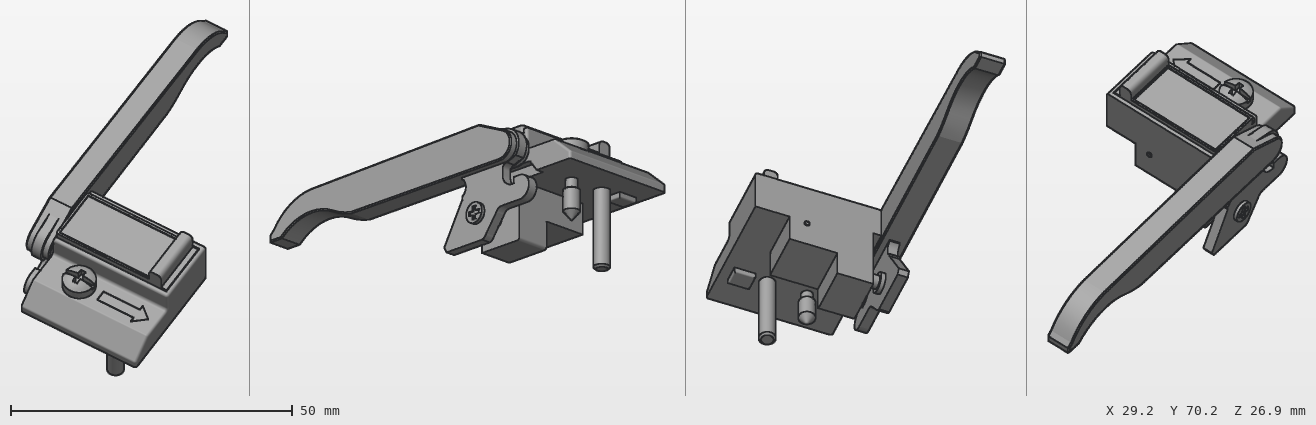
import cadquery as cq
import math


plate_left = 5.05
plate_right = 29.15
plate_depth = 23.6
plate_nose = 1.5
shelf_front = 4.1
shelf_height = 4.85
rim_front = 10.75
rim_top = 8.9
rim_thickness = 0.85
tray_floor = 8.0
rim_foot_radius = 0.6
edge_radius = 0.5
bevel_start = 8.35
bevel_end = 10.1
bevel_height = 2.2

lid_front = 11.95
lid_back = 22.55
lid_right = 28.2
lid_top = 9.55
lid_step = 8.85
lid_border = 0.5
panel_depth = 0.2
panel_gap = 0.3
ridge_left = 24.45
ridge_right = 27.05
ridge_top = 11.95
ridge_radius = 0.9

bracket_left = 6.6
bracket_front = 14.25
bracket_leg_right = 13.5
bracket_leg_bottom = -11.25
bracket_right = 22.6
bracket_bottom = -5.9
bracket_edge_radius = 0.55
stub_x = 19.3
stub_z = -0.55
stub_radius = 0.5
stub_length = 0.2

fastener_y = 7.3
screw_x = 12.8
head_radius = 3.0
head_side_top = 6.6
head_top = 7.5
dome_middle_z = 7.3
driver_width = 0.85
driver_bottom = 6.05
cross_width = 1.0
cross_length = 2.9
neck_radius = 1.1
neck_bottom = -1.75
shank_radius = 1.55
shank_top = -2.05
shank_bottom = -6.05
screw_tip = -7.9
pin_x = 20.4
pin_radius = 1.55
pin_bottom = -14.95
pin_chamfer = 0.4
foot_left = 23.1
foot_right = 27.2
foot_front = 5.5
foot_back = 8.7
foot_height = 1.05
foot_radius = 0.3

arrow_tail = 17.2
arrow_neck = 24.8
arrow_tip = 27.2
arrow_half_shaft = 1.05
arrow_half_head = 2.05
arrow_depth = 0.15

handle_width = 4.9
handle_tip = 70.25
handle_bottom = 1.7
handle_edge = 0.245
pivot_y = 12.8
handle_end_radius = 2.9
pivot_z = handle_bottom + handle_end_radius
shoulder_y = 17.9
shoulder_z = 9.9
grip_start_y = 49.9
grip_end_y = 67.3
nose_start_y = 60.05
nose_start_z = 9.1
tip_corner_y = 69.4
tip_corner_z = 3.8
tip_height = 3.0

lever_left = 1.55
lever_right = 3.5
lever_disc_radius = 3.45
disc_end_degrees = 220
lever_slot_y = 15.3
lever_back = 23.7
lever_bottom = -11.45
lever_top = 2.4
hook_top = -1.7
hook_bottom = -6.3
hook_center_y = 9.1
hook_step_y = 10.6
hook_gap_y = 11.0
hook_gap_z = -0.5
hook_gap_radius = 2.4
notch_y = 24.5
notch_z = -0.3
notch_radius = 1.9

lever_screw_y = 19.9
lever_screw_z = -6.1
collar_radius = 2.0
collar_left = 0.85
collar_right = 4.35
stud_radius = 1.25
stud_right = 7.3
recess_length = 2.5
recess_width = 0.8
recess_depth = 0.35


def box(x0, x1, y0, y1, z0, z1):
    """Block between two opposite corners."""
    return cq.Workplane("XY").box(x1 - x0, y1 - y0, z1 - z0, centered=False).translate((x0, y0, z0))


def rod_x(y, z, radius, x0, x1):
    """Cylinder along X."""
    return cq.Workplane("YZ", origin=(x0, y, z)).circle(radius).extrude(x1 - x0)


def on_circle(radius, angle):
    """Point on a circle around the pivot."""
    return (pivot_y + radius * math.cos(angle), pivot_z + radius * math.sin(angle))


def tangent_point(radius, y, z):
    """Front point where a line from (y, z) touches a circle around the pivot."""
    dy = y - pivot_y
    dz = z - pivot_z
    angle = math.atan2(dz, dy) + math.acos(radius / math.hypot(dy, dz))
    return on_circle(radius, angle)


def handle_slope_start():
    """Lower end of the sloped top at the pivot end of the handle."""
    return tangent_point(handle_end_radius, shoulder_y, shoulder_z)


def along_x(y, z):
    """Selector for the straight plate edges near one corner of the plate outline."""
    reach = 0.1
    low_corner = (plate_left, y - reach, z - reach)
    high_corner = (plate_right, y + reach, z + reach)
    return cq.selectors.BoxSelector(low_corner, high_corner)


def make_plate():
    body = (
        cq.Workplane("YZ", origin=(plate_left, 0, 0))
        .polyline([
            (0, 0), (0, plate_nose), (shelf_front, shelf_height), (rim_front, shelf_height),
            (rim_front, rim_top), (plate_depth, rim_top), (plate_depth, 0),
        ])
        .close()
        .extrude(plate_right - plate_left)
    )
    body = body.edges(along_x(rim_front, shelf_height)).fillet(rim_foot_radius)
    for y, z in ((0, plate_nose), (shelf_front, shelf_height), (rim_front, rim_top)):
        body = body.edges(along_x(y, z)).fillet(edge_radius)
    body = body.faces("<X or >X").edges("not (<Z or >Y)").fillet(edge_radius)
    tray = box(plate_left, plate_right - rim_thickness, rim_front + rim_thickness,
               plate_depth - rim_thickness, tray_floor, rim_top)
    bevel = (
        cq.Workplane("YZ", origin=(plate_left, 0, 0))
        .polyline([(bevel_start, 0), (bevel_end, bevel_height),
                   (plate_depth, bevel_height), (plate_depth, 0)])
        .close()
        .extrude(bracket_left - plate_left)
    )
    arrow = (
        cq.Workplane("XY", origin=(0, fastener_y, shelf_height - arrow_depth))
        .polyline([
            (arrow_tail, -arrow_half_shaft), (arrow_neck, -arrow_half_shaft),
            (arrow_neck, -arrow_half_head), (arrow_tip, 0), (arrow_neck, arrow_half_head),
            (arrow_neck, arrow_half_shaft), (arrow_tail, arrow_half_shaft),
        ])
        .close()
        .extrude(2 * arrow_depth)
    )
    return body.cut(tray).cut(bevel).cut(arrow)


def make_lid():
    cover = box(plate_left, ridge_right, lid_front, lid_back, bevel_height, lid_top)
    cover = cover.edges("|Z and <X").fillet(edge_radius)
    panel = box(plate_left + lid_border, ridge_left - panel_gap, lid_front + lid_border,
                lid_back - lid_border, lid_top - panel_depth, lid_top)
    step = box(ridge_left, lid_right, lid_front, lid_back, bevel_height, lid_step)
    ridge = box(ridge_left, ridge_right, lid_front, lid_back, bevel_height, ridge_top)
    ridge = ridge.edges("|Y and >Z").fillet(ridge_radius)
    return cover.cut(panel).union(step).union(ridge)


def make_bracket():
    web = box(bracket_left, bracket_right, bracket_front, plate_depth, bracket_bottom, bevel_height)
    leg = box(bracket_left, bracket_leg_right, bracket_front, plate_depth, bracket_leg_bottom, bevel_height)
    leg = leg.edges("|X and <Y and <Z").fillet(bracket_edge_radius)
    stub = (
        cq.Workplane("XZ", origin=(stub_x, plate_depth + stub_length, stub_z))
        .circle(stub_radius)
        .extrude(2 * stub_length)
    )
    return web.union(leg).union(stub)


def make_clamp_screw():
    body = (
        cq.Workplane("XZ", origin=(screw_x, fastener_y, 0))
        .moveTo(0, screw_tip)
        .lineTo(shank_radius, shank_bottom)
        .lineTo(shank_radius, shank_top)
        .lineTo(neck_radius, neck_bottom)
        .lineTo(neck_radius, shelf_height)
        .lineTo(head_radius, shelf_height)
        .lineTo(head_radius, head_side_top)
        .threePointArc((head_radius / 2, dome_middle_z), (0, head_top))
        .close()
        .revolve(360, (0, 0), (0, 1))
    )
    driver = cq.Workplane("XY", origin=(screw_x, fastener_y, driver_bottom))
    slot = driver.rect(3 * head_radius, driver_width).extrude(head_top)
    cross = driver.rect(cross_width, cross_length).extrude(head_top)
    return body.cut(slot).cut(cross)


def make_pin():
    pin = cq.Workplane("XY", origin=(pin_x, fastener_y, 0)).circle(pin_radius).extrude(pin_bottom)
    return pin.faces("<Z").chamfer(pin_chamfer)


def make_foot():
    foot = box(foot_left, foot_right, foot_front, foot_back, -foot_height, 0)
    return foot.faces("<Z").edges().fillet(foot_radius)


def make_handle():
    blank = (
        cq.Workplane("YZ")
        .moveTo(pivot_y, handle_bottom)
        .lineTo(grip_start_y, handle_bottom)
        .threePointArc((52.3, 2.3), (54.6, 3.3))
        .tangentArcPoint((grip_end_y, handle_bottom), relative=False)
        .lineTo(handle_tip, handle_bottom)
        .lineTo(handle_tip, tip_height)
        .lineTo(tip_corner_y, tip_corner_z)
        .threePointArc((64.8, 7.9), (nose_start_y, nose_start_z))
        .lineTo(shoulder_y, shoulder_z)
        .lineTo(*handle_slope_start())
        .threePointArc((pivot_y - handle_end_radius, pivot_z), (pivot_y, handle_bottom))
        .close()
        .extrude(handle_width)
    )
    return blank.faces("<X or >X").edges().chamfer(handle_edge)


def make_lever():
    start_y, start_z = handle_slope_start()
    slot_z = start_z + (shoulder_z - start_z) * (lever_slot_y - start_y) / (shoulder_y - start_y)
    touch = tangent_point(lever_disc_radius, lever_slot_y, slot_z)
    disc_end_angle = math.radians(disc_end_degrees)
    hook_radius = (hook_top - hook_bottom) / 2
    hook_tip = (hook_center_y - hook_radius, hook_bottom + hook_radius)
    gap_back = hook_gap_y + hook_gap_radius
    gap_bottom = hook_gap_z - hook_gap_radius
    gap_offset = hook_gap_radius * math.cos(math.pi / 4)
    gap_middle = (hook_gap_y + gap_offset, hook_gap_z - gap_offset)
    blade = (
        cq.Workplane("YZ", origin=(lever_left, 0, 0))
        .moveTo(lever_slot_y, slot_z)
        .lineTo(*touch)
        .threePointArc((pivot_y - lever_disc_radius, pivot_z), on_circle(lever_disc_radius, disc_end_angle))
        .lineTo(12.3, 1.55)
        .threePointArc((13.15, 1.25), (gap_back, 0.55))
        .lineTo(gap_back, hook_gap_z)
        .threePointArc(gap_middle, (hook_gap_y, gap_bottom))
        .lineTo(hook_step_y, gap_bottom)
        .lineTo(hook_step_y, hook_top)
        .lineTo(hook_center_y, hook_top)
        .threePointArc(hook_tip, (hook_center_y, hook_bottom))
        .lineTo(13.6, hook_bottom)
        .threePointArc((14.4, -6.5), (14.95, -7.2))
        .lineTo(17.5, -10.55)
        .threePointArc((17.9, -11.1), (18.55, lever_bottom))
        .lineTo(27.5, lever_bottom)
        .lineTo(28.0, -10.4)
        .lineTo(23.5, -2.5)
        .lineTo(lever_back, lever_top)
        .close()
        .extrude(lever_right - lever_left)
    )
    return blade.cut(rod_x(notch_y, notch_z, notch_radius, lever_left, lever_right))


def make_lever_screw():
    collar = rod_x(lever_screw_y, lever_screw_z, collar_radius, collar_left, collar_right)
    stud = rod_x(lever_screw_y, lever_screw_z, stud_radius, collar_left, stud_right)
    recess = cq.Workplane("YZ", origin=(collar_left, lever_screw_y, lever_screw_z))
    bar_y = recess.rect(recess_length, recess_width).extrude(recess_depth)
    bar_z = recess.rect(recess_width, recess_length).extrude(recess_depth)
    return collar.union(stud).cut(bar_y).cut(bar_z)


result = make_plate()
for piece in (make_lid(), make_bracket(), make_clamp_screw(), make_pin(), make_foot(),
              make_handle(), make_lever(), make_lever_screw()):
    result = result.union(piece)